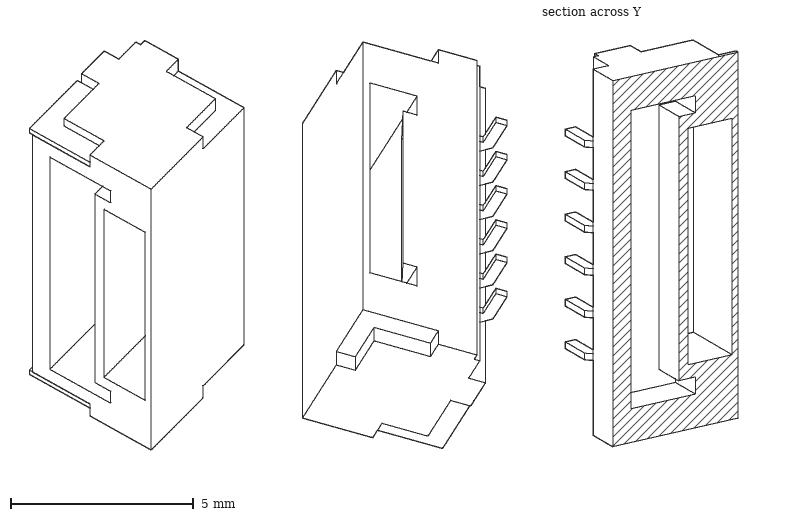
import cadquery as cq
import math

BODY_X = 4.05
BODY_HEIGHT = 10.76
FRONT_Y = 0.0
BACK_Y = 4.26
LEDGE_Y = 3.29
LEDGE_X = 0.5
BACK_STEP_Y = 4.07
BACK_STEP_X = 0.66

RECESS_DEPTH = 0.49
FRONT_RECESS_X_END = 1.96
FRONT_RECESS_Y_END = 2.25
FRONT_RECESS_INNER = (0.595, 0.65)
BACK_RECESS_X_START = 1.81
BACK_RECESS_Y_START = 2.385
BACK_RECESS_INNER = (3.485, 3.705)

TAB_THICKNESS = 0.18
CONTACT_SIDE_OVERHANG = 0.11
TAB_SETBACK = 0.01
TAB_Y_END = 2.205

POCKET_X_START = 0.595
POCKET_X_END = 2.13
POCKET_HEIGHT = 8.75
POCKET_FLOOR_Y = LEDGE_Y
NOTCH_X_END = 2.66
TONGUE_HEIGHT = 7.77

WINDOW_X_START = 2.44
WINDOW_X_END = 3.845
WINDOW_HEIGHT = 6.93

WEDGE_RISE = 0.42
WEDGE_ANGLE = 21.0
WEDGE_HEIGHT = 5.55

CONTACT_COUNT = 6
CONTACT_PITCH = 1.25
CONTACT_WIDTH = 0.2
CONTACT_LEG_X = 0.225
CONTACT_FOOT_Y = 3.66
CONTACT_TIP_Y = 4.55
BEND_X = 0.165
BEND_Y = 3.55


def prism(points, z_bottom, height):
    """Close an XY outline and raise it along Z."""
    return cq.Workplane("XY").workplane(offset=z_bottom).polyline(points).close().extrude(height)


def block(x_range, y_range, height):
    """Box centred on Z = 0."""
    (x0, x1), (y0, y1) = x_range, y_range
    return prism([(x0, y0), (x1, y0), (x1, y1), (x0, y1)], -height / 2, height)


def l_outline(outer, inner, end):
    """L-shaped outline whose two legs run from the outer corner to end X and end Y."""
    return [
        outer,
        (end[0], outer[1]),
        (end[0], inner[1]),
        inner,
        (inner[0], end[1]),
        (outer[0], end[1]),
    ]


def at_both_ends(solid):
    return solid.union(solid.mirror("XY"))


def make_housing():
    outline = [
        (0, FRONT_Y),
        (BODY_X, FRONT_Y),
        (BODY_X, BACK_Y),
        (BACK_STEP_X, BACK_Y),
        (BACK_STEP_X, BACK_STEP_Y),
        (LEDGE_X, BACK_STEP_Y),
        (LEDGE_X, LEDGE_Y),
        (0, LEDGE_Y),
    ]
    return prism(outline, -BODY_HEIGHT / 2, BODY_HEIGHT)


def make_recesses():
    floor_z = BODY_HEIGHT / 2 - RECESS_DEPTH
    front_end = (FRONT_RECESS_X_END, FRONT_RECESS_Y_END)
    back_end = (BACK_RECESS_X_START, BACK_RECESS_Y_START)
    front = prism(l_outline((0, FRONT_Y), FRONT_RECESS_INNER, front_end), floor_z, RECESS_DEPTH)
    back = prism(l_outline((BODY_X, BACK_Y), BACK_RECESS_INNER, back_end), floor_z, RECESS_DEPTH)
    return at_both_ends(front.union(back))


def make_tabs():
    floor_z = BODY_HEIGHT / 2 - RECESS_DEPTH
    end = (FRONT_RECESS_X_END, TAB_Y_END)
    corner = (-CONTACT_SIDE_OVERHANG, FRONT_Y + TAB_SETBACK)
    tab = prism(l_outline(corner, FRONT_RECESS_INNER, end), floor_z, TAB_THICKNESS)
    return at_both_ends(tab)


def make_pocket():
    y_range = (FRONT_Y, POCKET_FLOOR_Y)
    full = block((POCKET_X_START, NOTCH_X_END), y_range, POCKET_HEIGHT)
    tongue = block((POCKET_X_END, NOTCH_X_END), y_range, TONGUE_HEIGHT)
    return full.cut(tongue)


def make_window():
    return block((WINDOW_X_START, WINDOW_X_END), (FRONT_Y, BACK_Y), WINDOW_HEIGHT)


def make_wedge():
    length = WEDGE_RISE / math.tan(math.radians(WEDGE_ANGLE))
    outline = [
        (WINDOW_X_START, BACK_Y - length),
        (WINDOW_X_START + WEDGE_RISE, BACK_Y),
        (WINDOW_X_START, BACK_Y),
    ]
    return prism(outline, -WEDGE_HEIGHT / 2, WEDGE_HEIGHT)


def make_contact(z_centre):
    outline = [
        (LEDGE_X, LEDGE_Y),
        (LEDGE_X, CONTACT_FOOT_Y),
        (CONTACT_LEG_X, CONTACT_FOOT_Y),
        (CONTACT_LEG_X, CONTACT_TIP_Y),
        (-CONTACT_SIDE_OVERHANG, CONTACT_TIP_Y),
        (-CONTACT_SIDE_OVERHANG, BEND_Y),
        (BEND_X, LEDGE_Y),
    ]
    return prism(outline, z_centre - CONTACT_WIDTH / 2, CONTACT_WIDTH)


result = make_housing().cut(make_recesses()).cut(make_pocket()).cut(make_window())
result = result.union(make_tabs()).union(make_wedge())
for index in range(CONTACT_COUNT):
    result = result.union(make_contact((index - (CONTACT_COUNT - 1) / 2) * CONTACT_PITCH))